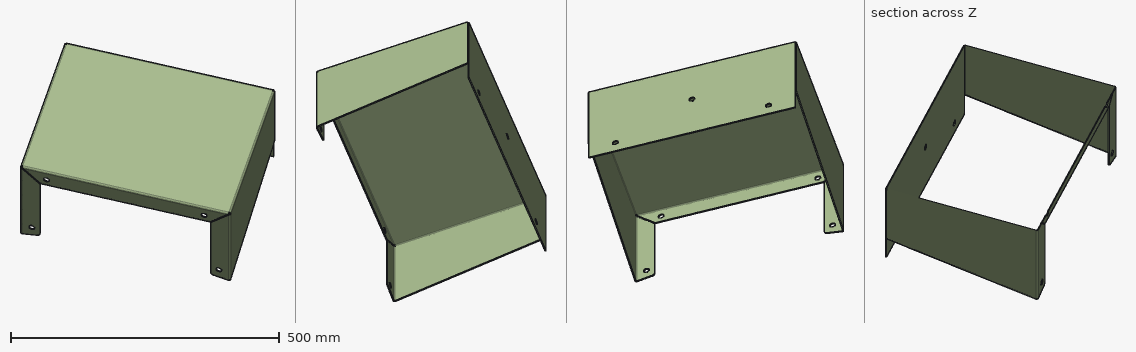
import cadquery as cq

width = 406.4
depth = 304.8
height = 203.2

thickness = 2.4
inner_bend_radius = 1.3
bend = inner_bend_radius + thickness
corner_gap = 0.3

flange_width = 38.1
mitre_gap = 2.8
flange_foot_rise = 6.7
flange_foot_radius = 6.35

side_rise = height / 4

hole_diameter = 11.1
flange_hole_inset = 22.225
lower_hole_height = 25.4
top_flange_hole_spacing = 304.8
back_hole_spacing = 298.0
back_centre_hole_height = height / 2

half_width = width / 2
side_end = depth - thickness - corner_gap
back_half_width = half_width - thickness


def box(x_range, y_range, z_range):
    """Block spanning three (low, high) ranges."""
    lows, highs = zip(x_range, y_range, z_range)
    sizes = [high - low for low, high in zip(lows, highs)]
    return cq.Workplane("XY").box(*sizes, centered=False).translate(lows)


def quarter_bend(plane, length):
    """Quarter ring about the plane's origin, in its first quadrant, extruded along its normal."""
    quadrant = cq.Workplane(plane).rect(bend, bend, centered=False).extrude(length)
    ring = cq.Workplane(plane).circle(bend).circle(inner_bend_radius).extrude(length)
    return ring.intersect(quadrant)


def top_panel():
    return box(
        (bend - half_width, half_width - bend),
        (bend, depth - bend),
        (height - thickness, height),
    )


def front_bend():
    """Bend from the top panel down into the top flange."""
    axis = cq.Plane((bend - half_width, bend, height - bend), xDir=(0, 0, 1), normal=(1, 0, 0))
    return quarter_bend(axis, width - 2 * bend)


def back_bend():
    """Bend from the top panel down into the back panel; its ends flare out to the panel's width."""
    axis = cq.Plane((-back_half_width, depth - bend, height - bend), xDir=(0, 1, 0), normal=(1, 0, 0))
    strip = quarter_bend(axis, 2 * back_half_width)
    left_taper = top_corner_taper((-back_half_width, depth - bend), (-back_half_width, depth))
    return strip.cut(left_taper).cut(left_taper.mirror("YZ"))


def top_corner_taper(square_corner, far_corner):
    """Triangular cutter that narrows the end of a bend towards the top panel's back left corner."""
    panel_corner = (bend - half_width, depth - bend)
    outline = [panel_corner, square_corner, far_corner]
    return cq.Workplane("XY", origin=(0, 0, height - bend)).polyline(outline).close().extrude(bend)


def back_panel():
    panel = box(
        (-back_half_width, back_half_width),
        (depth - thickness, depth),
        (0, height - bend),
    )
    centres = [(0, back_centre_hole_height)]
    for side in (-1, 1):
        centres.append((side * back_hole_spacing / 2, lower_hole_height))
    return panel.cut(holes(centres))


def holes(centres):
    """Drills along Y, long enough to cross the whole cover, at (x, z) centres."""
    drills = cq.Workplane("XZ", origin=(0, depth, 0)).pushPoints(centres)
    return drills.circle(hole_diameter / 2).extrude(depth)


def top_flange():
    outer = half_width - bend - mitre_gap / 2
    drop = flange_width - bend
    flange = (
        cq.Workplane("XZ", origin=(0, thickness, 0))
        .moveTo(-outer, height - bend)
        .lineTo(outer, height - bend)
        .lineTo(outer - drop, height - flange_width)
        .lineTo(drop - outer, height - flange_width)
        .close()
        .extrude(thickness)
    )
    hole_height = height - flange_hole_inset
    centres = [(side * top_flange_hole_spacing / 2, hole_height) for side in (-1, 1)]
    return flange.cut(holes(centres))


def left_side_bend():
    """Bend from the top panel down into the left side panel; its back end flares to the panel's end."""
    axis = cq.Plane((bend - half_width, bend, height - bend), xDir=(-1, 0, 0), normal=(0, 1, 0))
    strip = quarter_bend(axis, side_end - bend)
    return strip.cut(top_corner_taper((bend - half_width, side_end), (-half_width, side_end)))


def left_front_bend():
    """Bend from the left side panel into the left flange."""
    axis = cq.Plane((bend - half_width, bend, 0), xDir=(-1, 0, 0), normal=(0, 0, 1))
    return quarter_bend(axis, height - bend)


def left_panel():
    return (
        cq.Workplane("YZ", origin=(-half_width, 0, 0))
        .moveTo(bend, 0)
        .lineTo(side_end, side_rise)
        .lineTo(side_end, height - bend)
        .lineTo(bend, height - bend)
        .close()
        .extrude(thickness)
    )


def left_flange():
    bend_side = bend - half_width
    free_side = flange_width - half_width
    mitre_top = height - bend - mitre_gap / 2
    flange = (
        cq.Workplane("XZ", origin=(0, thickness, 0))
        .moveTo(bend_side, 0)
        .lineTo(free_side, flange_foot_rise)
        .lineTo(free_side, mitre_top - (flange_width - bend))
        .lineTo(bend_side, mitre_top)
        .close()
        .extrude(thickness)
    )
    foot_corner = cq.selectors.NearestToPointSelector((free_side, thickness / 2, flange_foot_rise))
    flange = flange.edges("|Y").edges(foot_corner).fillet(flange_foot_radius)
    return flange.cut(holes([(flange_hole_inset - half_width, lower_hole_height)]))


def left_side():
    return left_panel().union(left_side_bend()).union(left_front_bend()).union(left_flange())


def cover():
    left = left_side()
    body = top_panel().union(front_bend()).union(top_flange())
    body = body.union(back_bend()).union(back_panel())
    return body.union(left).union(left.mirror("YZ"))


result = cover()